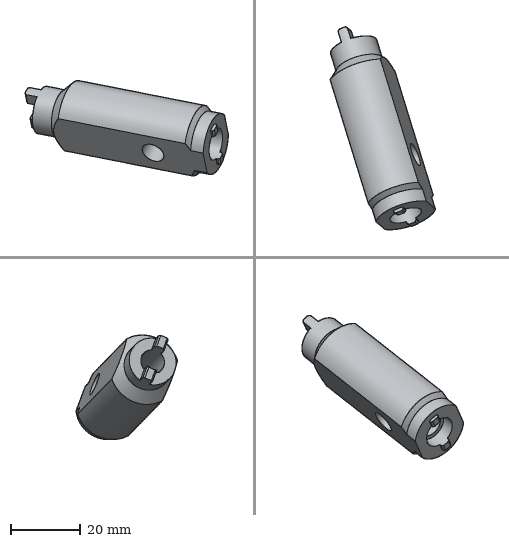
import cadquery as cq

length = 60.0
nose_length = 6.0
nose_diameter = 14.0
body_diameter = 20.75
collar_diameter = 18.0
collar_length = 3.95
across_flats = 16.1
roll_angle = 20.0

bore_diameter = 7.0
socket_diameter = 9.5
cross_hole_diameter = 6.8
cross_hole_x = 42.5

key_width = 3.0
tab_length = 4.0
tab_chamfer = 0.5
tip_length = 1.0
tip_chamfer = 0.55

nose_start = tab_length
cone_start = nose_start + nose_length
body_start = cone_start + (body_diameter - nose_diameter) / 2
collar_end = length - tip_length
collar_start = collar_end - collar_length
body_end = collar_start - (body_diameter - collar_diameter) / 2

key_root = collar_length / 2


def cylinder(diameter, start, end):
    """Solid cylinder on the X axis between two stations."""
    return cq.Workplane("YZ", origin=(start, 0, 0)).circle(diameter / 2).extrude(end - start)


def turned_body():
    """Nose, cones, main barrel and collar turned about X, with two parallel flats."""
    profile = [
        (nose_start, 0),
        (nose_start, nose_diameter / 2),
        (cone_start, nose_diameter / 2),
        (body_start, body_diameter / 2),
        (body_end, body_diameter / 2),
        (collar_start, collar_diameter / 2),
        (collar_end, collar_diameter / 2),
        (collar_end, 0),
    ]
    turned = cq.Workplane("XY").polyline(profile).close().revolve(360, (0, 0, 0), (1, 0, 0))
    slab = cq.Workplane("XY").box(length, across_flats, body_diameter, centered=(False, True, True))
    return turned.intersect(slab)


def end_key(start, end, outer_face, chamfer):
    """Bar across the axis, rounded to the nose diameter, with its long end edges chamfered."""
    bar = cq.Workplane("XY").box(end - start, key_width, body_diameter)
    bar = bar.faces(outer_face).edges("|Z").chamfer(chamfer)
    bar = bar.translate(((start + end) / 2, 0, 0))
    return bar.intersect(cylinder(nose_diameter, start, end))


def cross_hole():
    """Hole square to the flats, through both of them."""
    plane = cq.Workplane("XZ", origin=(cross_hole_x, 0, 0))
    return plane.circle(cross_hole_diameter / 2).extrude(across_flats, both=True)


tabs = end_key(0, nose_start + key_root, "<X", tab_chamfer)
tips = end_key(collar_end - key_root, length, ">X", tip_chamfer)
bore = cylinder(bore_diameter, 0, length)
socket = cylinder(socket_diameter, collar_start, length)

result = turned_body().union(tabs).union(tips).cut(bore).cut(socket).cut(cross_hole())
result = result.rotate((0, 0, 0), (1, 0, 0), roll_angle)